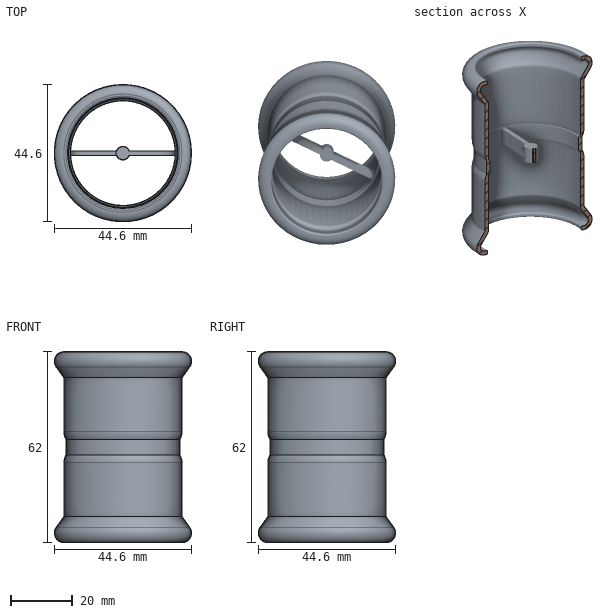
import cadquery as cq
import math

length = 62.0
wall = 1.55
body_radius = 38.4 / 2
waist_radius = 37.0 / 2
stop_radius = 34.0 / 2
lip_radius = 35.9 / 2
lip_rounding = 0.55
bead_radius = 3.1
flare_start = 22.55
waist_half_height = 2.55
waist_blend_end = 5.0
arm_width = 1.55
hub_diameter = 4.4

half_length = length / 2
socket_radius = body_radius - wall
bead_height = half_length - bead_radius
lip_bottom = half_length - wall
bead_bore_radius = bead_radius - wall
waist_height = 2 * waist_half_height

flare_angle = math.asin(bead_radius / (bead_height - flare_start))

blend_height = waist_blend_end - waist_half_height
blend_depth = body_radius - waist_radius
blend_radius = (blend_height**2 + blend_depth**2) / (2 * blend_depth)


def arc_point(center_z, radius, angle):
    """Point on a circle centred at the socket's outer radius, angle measured up from outward."""
    return (body_radius + radius * math.cos(angle), center_z + radius * math.sin(angle))


def make_sleeve_end():
    """Upper end of the sleeve, above the waist: socket, flare, bead and lip."""
    blend_half_angle = math.asin(blend_height / blend_radius) / 2
    blend_middle = (
        body_radius - blend_radius * (1 - math.cos(blend_half_angle)),
        waist_blend_end - blend_radius * math.sin(blend_half_angle),
    )
    bead_middle_angle = (math.pi / 2 - flare_angle) / 2
    inward_middle_angle = math.pi - flare_angle / 2
    rounding_offset = lip_rounding * (1 - math.sqrt(0.5))
    profile = (
        cq.Workplane("XZ")
        .moveTo(waist_radius, waist_half_height)
        .threePointArc(blend_middle, (body_radius, waist_blend_end))
        .lineTo(body_radius, flare_start)
        .lineTo(*arc_point(bead_height, bead_radius, -flare_angle))
        .threePointArc(
            arc_point(bead_height, bead_radius, bead_middle_angle),
            (body_radius, half_length),
        )
        .lineTo(lip_radius + lip_rounding, half_length)
        .threePointArc(
            (lip_radius + rounding_offset, half_length - rounding_offset),
            (lip_radius, half_length - lip_rounding),
        )
        .lineTo(lip_radius, lip_bottom + lip_rounding)
        .threePointArc(
            (lip_radius + rounding_offset, lip_bottom + rounding_offset),
            (lip_radius + lip_rounding, lip_bottom),
        )
        .lineTo(body_radius, lip_bottom)
        .threePointArc(
            arc_point(bead_height, bead_bore_radius, bead_middle_angle),
            arc_point(bead_height, bead_bore_radius, -flare_angle),
        )
        .lineTo(*arc_point(flare_start, wall, math.pi - flare_angle))
        .threePointArc(
            arc_point(flare_start, wall, inward_middle_angle),
            (socket_radius, flare_start),
        )
        .lineTo(socket_radius, waist_half_height)
        .close()
    )
    return profile.revolve(360, (0, 0, 0), (0, 1, 0))


def make_sleeve():
    """Two mirrored ends joined by the waist, whose smaller bore forms the insertion stop."""
    waist = make_cylinder(waist_radius).cut(make_cylinder(stop_radius))
    upper_end = make_sleeve_end()
    return waist.union(upper_end).union(upper_end.mirror("XY"))


def make_cylinder(radius):
    """Cylinder on the axis, as tall as the waist."""
    base = cq.Workplane("XY").workplane(offset=-waist_half_height)
    return base.circle(radius).extrude(waist_height)


def make_arm(direction):
    """Arm from the axis to the stop bore; direction is +1 or -1 along X."""
    arm = cq.Workplane("XY").box(body_radius, arm_width, waist_height)
    arm = arm.translate((direction * body_radius / 2, 0, 0))
    return arm.intersect(make_cylinder(stop_radius))


def make_hub_with_arm():
    """Central hub in one piece with the arm on its +X side."""
    return make_cylinder(hub_diameter / 2).union(make_arm(1))


def make_separate_arm():
    """Arm on the -X side, ending against the hub."""
    return make_arm(-1).cut(make_cylinder(hub_diameter / 2))


sleeve = make_sleeve()
hub_with_arm = make_hub_with_arm()
separate_arm = make_separate_arm()

result = cq.Compound.makeCompound([
    sleeve.solids().val(),
    hub_with_arm.solids().val(),
    separate_arm.solids().val(),
])